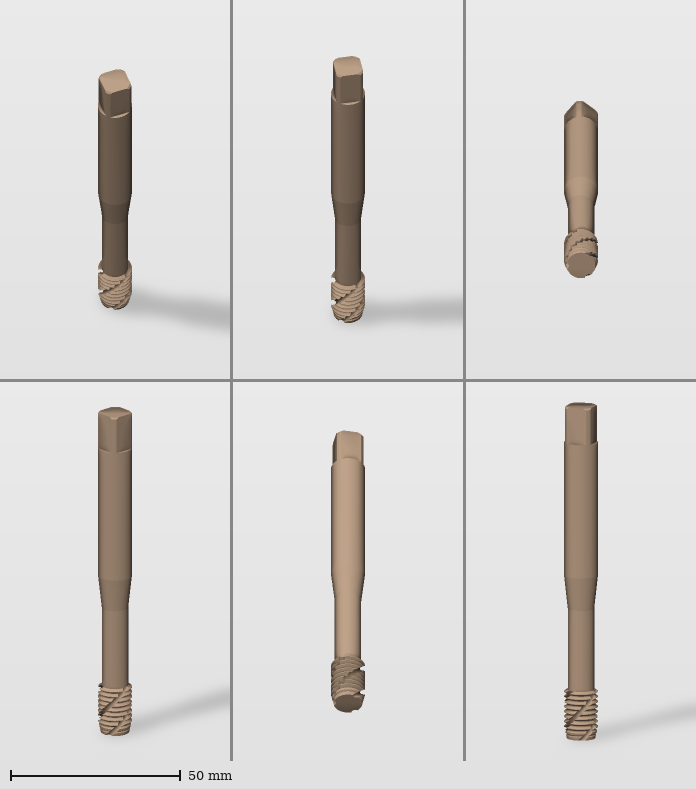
import cadquery as cq
import math

total_length = 100.0
shank_diameter = 10.0
shank_radius = shank_diameter / 2

square_size = 8.0
square_length = 11.0
top_chamfer = 0.5
taper_top = 49.0
taper_length = 10.0
neck_radius = 3.9

pitch = 1.5
crest_radius = shank_radius
root_radius = 4.1
crest_flat = 0.2
root_flat = 0.2
first_crest = 0.5
tooth_count = 10
tooth_base_half = (pitch - root_flat) / 2
head_length = first_crest + (tooth_count - 1) * pitch + tooth_base_half
tip_radius = 4.2
lead_in_length = 3.6

flute_count = 3
flute_lead = 27.0
flute_radius = 1.1
flute_floor_radius = 3.5
flute_tip_angle = -159.0


def make_shank():
    """Neck, taper and cylinder with a square drive end whose corners lie on the cylinder."""
    outline = [
        (0, head_length),
        (neck_radius, head_length),
        (neck_radius, taper_top - taper_length),
        (shank_radius, taper_top),
        (shank_radius, total_length - top_chamfer),
        (shank_radius - top_chamfer, total_length),
        (0, total_length),
    ]
    blank = cq.Workplane("XZ").polyline(outline).close().revolve(360, (0, 0), (0, 1))
    square_base = total_length - square_length
    flats = (
        cq.Workplane("XY", origin=(0, 0, square_base))
        .rect(2 * shank_diameter, 2 * shank_diameter)
        .rect(square_size, square_size)
        .extrude(square_length)
    )
    return blank.cut(flats)


def make_toothed_blank():
    """Round core with annular V teeth, trimmed by the conical lead-in at the tip."""
    outline = [(0, -pitch), (root_radius, -pitch)]
    for tooth in range(tooth_count):
        crest = first_crest + tooth * pitch
        outline += [
            (root_radius, crest - tooth_base_half),
            (crest_radius, crest - crest_flat / 2),
            (crest_radius, crest + crest_flat / 2),
            (root_radius, crest + tooth_base_half),
        ]
    outline.append((0, head_length))
    teeth = cq.Workplane("XZ").polyline(outline).close().revolve(360, (0, 0), (0, 1))

    envelope_outline = [
        (0, 0),
        (tip_radius, 0),
        (crest_radius, lead_in_length),
        (crest_radius, head_length),
        (0, head_length),
    ]
    envelope = cq.Workplane("XZ").polyline(envelope_outline).close().revolve(360, (0, 0), (0, 1))
    return teeth.intersect(envelope)


def make_flute(start_angle):
    """Round-bottomed right-hand helical groove running the full height of the head."""
    angle = math.radians(start_angle)
    distance = flute_floor_radius + flute_radius
    twist = 360 * head_length / flute_lead
    return (
        cq.Workplane("XY")
        .moveTo(distance * math.cos(angle), distance * math.sin(angle))
        .circle(flute_radius)
        .twistExtrude(head_length, twist)
    )


def make_cutting_head():
    """Toothed blank with the flutes cut at equal angles around it."""
    head = make_toothed_blank()
    for flute in range(flute_count):
        head = head.cut(make_flute(flute_tip_angle + flute * 360 / flute_count))
    return head


shank = make_shank()
cutting_head = make_cutting_head()

result = cq.Compound.makeCompound([shank.val(), cutting_head.val()])